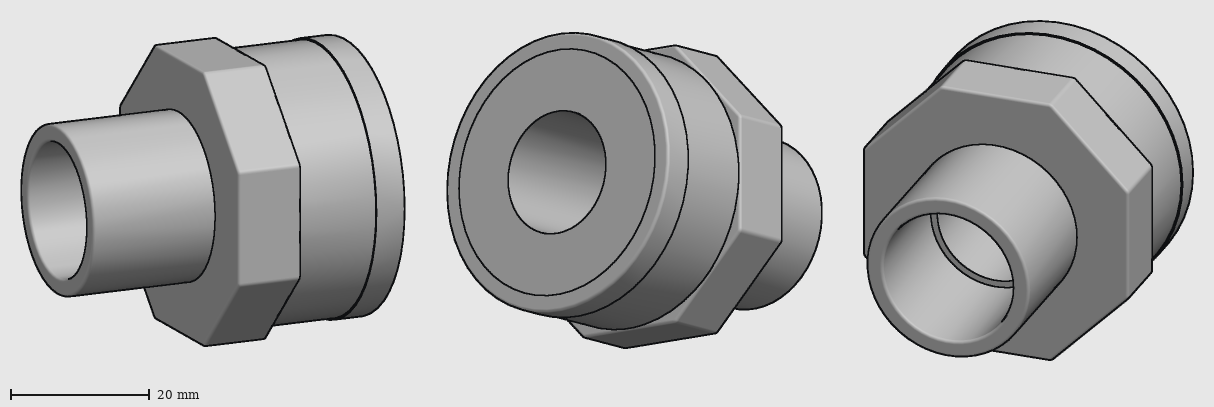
import cadquery as cq
import math

total_length = 46
ring_length = 4.65
rear_length = 16.65
octagon_length = 10.0

octagon_rear = total_length - rear_length
octagon_front = octagon_rear - octagon_length
ring_front = total_length - ring_length

octagon_sides = 8
octagon_flats = 41.0
barrel_diameter = 40.5
spigot_diameter = 25.13
socket_diameter = 20.0
bore_diameter = 18.0
ring_diameter = 40.95
ring_seat_diameter = 36.1

edge_radius = 0.45
octagon_corner_radius = 0.9


def cylinder(diameter, start, end):
    """Solid cylinder on the Y axis between two Y positions."""
    return (
        cq.Workplane("XZ", origin=(0, start, 0))
        .circle(diameter / 2)
        .extrude(start - end)
    )


def make_octagon():
    """Octagonal wrench grip with flats facing X and Z and all edges rounded."""
    corner_diameter = octagon_flats / math.cos(math.pi / octagon_sides)
    return (
        cq.Workplane("XZ", origin=(0, octagon_front, 0))
        .transformed(rotate=(0, 0, 180 / octagon_sides))
        .polygon(octagon_sides, corner_diameter)
        .extrude(-octagon_length)
        .edges("|Y").fillet(octagon_corner_radius)
        .faces("<Y or >Y").edges().fillet(edge_radius)
    )


def make_spigot():
    """Solid spigot running back into the octagon, with a rounded front rim."""
    return cylinder(spigot_diameter, 0, octagon_rear).faces("<Y").edges().fillet(edge_radius)


def make_housing():
    """Spigot, octagon, barrel and the neck that carries the ring, bored through."""
    octagon_middle = octagon_front + octagon_length / 2
    barrel = cylinder(barrel_diameter, octagon_middle, ring_front)
    neck = cylinder(ring_seat_diameter, octagon_rear, total_length)
    pipe_socket = cylinder(socket_diameter, 0, octagon_front)
    through_bore = cylinder(bore_diameter, 0, total_length)
    return (
        make_spigot()
        .union(make_octagon())
        .union(barrel)
        .union(neck)
        .cut(pipe_socket)
        .cut(through_bore)
        .faces("<Y").edges(cq.selectors.RadiusNthSelector(0)).fillet(edge_radius)
    )


def make_ring():
    """Reinforcing ring around the neck, with a rounded outer rear edge."""
    return (
        cylinder(ring_diameter, ring_front, total_length)
        .faces(">Y").edges().fillet(edge_radius)
        .cut(cylinder(ring_seat_diameter, ring_front, total_length))
    )


housing = make_housing().solids()
ring = make_ring().solids()

result = cq.Compound.makeCompound([housing.val(), ring.val()])